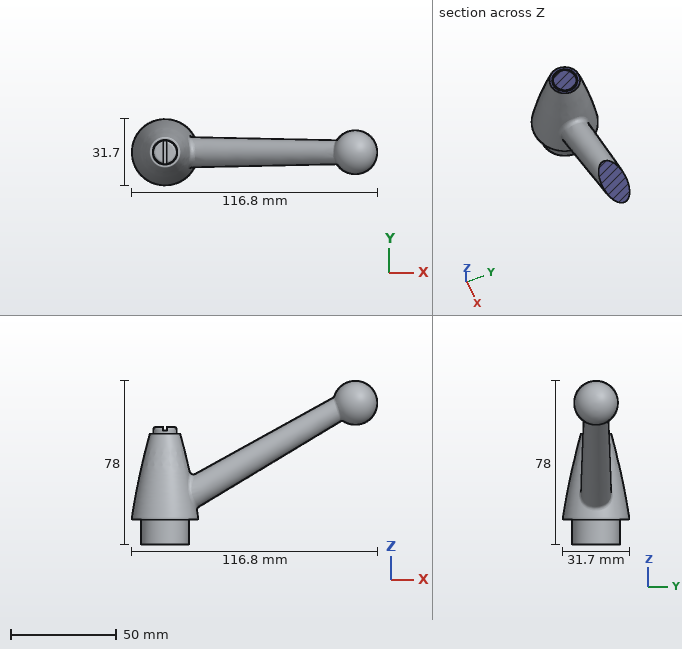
import cadquery as cq
import math

spigot_radius = 11.5
spigot_height = 12.0
spigot_edge_chamfer = 0.4

hub_radius = 15.83
hub_middle_radius = 11.9
hub_middle_z = 34.0
hub_top_radius = 7.2
hub_top_z = 52.9
rim_height = 0.9
rim_fillet = 0.5
hub_top_fillet = 0.5

screw_radius = 5.6
screw_top_z = 56.1
screw_fillet = 1.4
screw_bore_radius = 5.9
screw_gap_depth = 1.2
slot_width = 1.8
slot_depth = 1.6

ball_radius = 10.5
overall_length = 116.8
overall_height = 78.0
ball_x = overall_length - hub_radius - ball_radius
ball_z = overall_height - ball_radius

arm_angle = 30.0
arm_offset = 1.6
arm_length = 88.8
arm_end_inset = 4.7
arm_root_radius = 7.4
arm_end_radius = 5.7
root_fillet = 1.9
neck_fillet = 1.2


def make_hub():
    hub = (
        cq.Workplane("XZ")
        .moveTo(0, spigot_height)
        .lineTo(hub_radius, spigot_height)
        .lineTo(hub_radius, spigot_height + rim_height)
        .threePointArc((hub_middle_radius, hub_middle_z), (hub_top_radius, hub_top_z))
        .lineTo(0, hub_top_z)
        .close()
        .revolve(360, (0, 0, 0), (0, 1, 0))
    )
    return hub.faces("<Z").edges().fillet(rim_fillet).faces(">Z").edges().fillet(hub_top_fillet)


def make_arm():
    angle = math.radians(arm_angle)
    direction = cq.Vector(math.cos(angle), 0, math.sin(angle))
    upward = cq.Vector(-math.sin(angle), 0, math.cos(angle))
    end = cq.Vector(ball_x, 0, ball_z) + upward * arm_offset - direction * arm_end_inset
    start = end - direction * arm_length
    return cq.Workplane(cq.Solid.makeCone(arm_root_radius, arm_end_radius, arm_length, start, direction))


def make_ball():
    return cq.Workplane("XY").sphere(ball_radius).translate((ball_x, 0, ball_z))


def make_handle():
    lever = make_arm().union(make_ball())
    lever = lever.edges("%BSPLINE").fillet(neck_fillet)
    root_region = cq.selectors.BoxSelector(
        (-hub_radius, -hub_radius, spigot_height),
        (2 * hub_radius, hub_radius, hub_top_z),
    )
    return make_hub().union(lever).edges("%BSPLINE").edges(root_region).fillet(root_fillet)


def make_spigot():
    spigot = cq.Workplane("XY").circle(spigot_radius).extrude(spigot_height)
    return spigot.faces("<Z").edges().chamfer(spigot_edge_chamfer)


def make_screw():
    bottom_z = hub_top_z - screw_gap_depth
    screw = (
        cq.Workplane("XY", origin=(0, 0, bottom_z))
        .circle(screw_radius)
        .extrude(screw_top_z - bottom_z)
        .faces(">Z")
        .edges()
        .fillet(screw_fillet)
    )
    slot = (
        cq.Workplane("XY", origin=(0, 0, screw_top_z - slot_depth))
        .rect(slot_width, 2 * hub_top_radius)
        .extrude(slot_depth)
    )
    return screw.cut(slot)


screw_bore = (
    cq.Workplane("XY", origin=(0, 0, hub_top_z - screw_gap_depth))
    .circle(screw_bore_radius)
    .extrude(screw_gap_depth)
)

result = make_handle().cut(screw_bore).union(make_spigot()).union(make_screw())